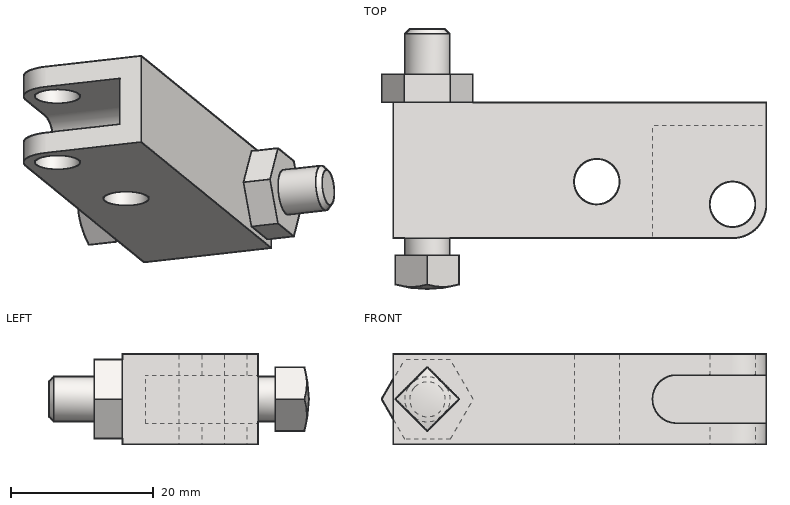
import cadquery as cq
import math


arm_length = 52.3875
arm_width = 19.05
arm_thickness = 12.7
pin_hole_diameter = 6.35
pin_inset = 4.7625
corner_radius = pin_inset
pivot_x = 28.575
pivot_y = 7.9375

slot_height = 6.75
slot_length = 16.0
slot_back_wall = 3.175
slot_depth = arm_width - slot_back_wall

bolt_x = 4.79
bolt_diameter = 6.35
bolt_chamfer = 0.7
head_gap = 2.38
head_side = 6.35
head_turn = 45
head_height = 4.7625
head_dome_radius = 15.875
bolt_total_length = 36.5

nut_sides = 6
nut_across_flats = 11.1125
nut_corner_diameter = nut_across_flats / math.cos(math.pi / nut_sides)
nut_thickness = 3.96875

head_inner_y = -head_gap
head_outer_y = head_inner_y - head_height
bolt_tip_y = head_outer_y + bolt_total_length


def plane_facing_back(y):
    """Sketch plane centred on the bolt axis, with its normal along +Y."""
    return cq.Workplane(cq.Plane(origin=(bolt_x, y, 0), xDir=(1, 0, 0), normal=(0, 1, 0)))


def make_slot():
    """Slot cutter: a half-round left end followed by a straight run to the right end."""
    radius = slot_height / 2
    slot_left = arm_length - slot_length
    return (
        cq.Workplane("XZ")
        .moveTo(arm_length, radius)
        .lineTo(slot_left + radius, radius)
        .threePointArc((slot_left, 0), (slot_left + radius, -radius))
        .lineTo(arm_length, -radius)
        .close()
        .extrude(-slot_depth)
    )


def make_arm():
    """Rectangular bar with a rounded corner, two cross holes and the clevis slot."""
    bar = cq.Workplane("XY").box(arm_length, arm_width, arm_thickness, centered=(False, False, True))
    bar = bar.edges("|Z and >X and <Y").fillet(corner_radius)
    hole_centres = [(pivot_x, pivot_y), (arm_length - pin_inset, pin_inset)]
    holes = (
        cq.Workplane("XY", origin=(0, 0, -arm_thickness / 2))
        .pushPoints(hole_centres)
        .circle(pin_hole_diameter / 2)
        .extrude(arm_thickness)
    )
    return bar.cut(holes).cut(make_slot())


def make_shank():
    """Round shank from the head to the chamfered tip."""
    return (
        plane_facing_back(head_inner_y)
        .circle(bolt_diameter / 2)
        .extrude(bolt_tip_y - head_inner_y)
        .faces(">Y")
        .chamfer(bolt_chamfer)
    )


def make_head():
    """Square head standing on a corner, with a domed outer end."""
    block = (
        plane_facing_back(head_outer_y)
        .transformed(rotate=(0, 0, head_turn))
        .rect(head_side, head_side)
        .extrude(head_height)
    )
    dome = cq.Workplane("XY").sphere(head_dome_radius)
    return block.intersect(dome.translate((bolt_x, head_outer_y + head_dome_radius, 0)))


def make_nut():
    """Plain hexagonal nut against the back face of the arm."""
    return plane_facing_back(arm_width).polygon(nut_sides, nut_corner_diameter).extrude(nut_thickness)


result = make_arm().union(make_shank()).union(make_head()).union(make_nut())